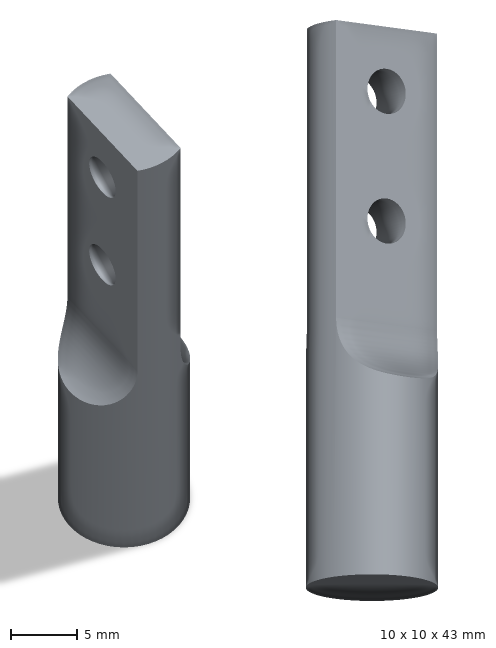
import cadquery as cq

total_length = 43.0
shank_diameter = 10.0
blade_thickness = 4.0
blade_length = 23.0
runout_radius = 5.0
hole_diameter = 3.5
top_hole_offset = 5.0
hole_spacing = 10.0

blade_start = total_length - blade_length
blade_face = blade_thickness / 2
runout_end = blade_face + runout_radius
upper_hole_height = total_length - top_hole_offset


def make_shank():
    """Round bar standing on the XY plane."""
    return cq.Workplane("XY").circle(shank_diameter / 2).extrude(total_length)


def make_flat_cutter():
    """Material removed on the +Y side: a flat that ends in a tangent quarter arc."""
    return (
        cq.Workplane("YZ")
        .moveTo(blade_face, total_length)
        .lineTo(blade_face, blade_start)
        .radiusArc((runout_end, blade_start - runout_radius), -runout_radius)
        .lineTo(runout_end, total_length)
        .close()
        .extrude(shank_diameter / 2, both=True)
    )


def make_hole_cutter(height):
    """Cylinder along Y that passes through the whole blade."""
    return (
        cq.Workplane("XZ")
        .center(0, height)
        .circle(hole_diameter / 2)
        .extrude(shank_diameter / 2, both=True)
    )


flat_cutter = make_flat_cutter()
result = make_shank().cut(flat_cutter).cut(flat_cutter.mirror("XZ"))

for hole_height in (upper_hole_height, upper_hole_height - hole_spacing):
    result = result.cut(make_hole_cutter(hole_height))